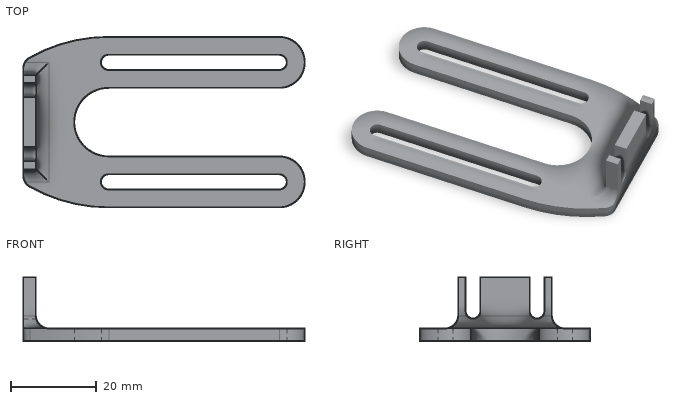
import cadquery as cq
import math

length = 66.0
width = 40.0
plate_thickness = 3.0

arm_width = 12.0
arm_start_x = 20.0
arm_end_radius = arm_width / 2
arm_end_center_x = length - arm_end_radius
arm_center_y = (width - arm_width) / 2
arm_slot_width = 3.5
gap_width = width - 2 * arm_width

mount_edge_width = 28.4
mount_corner_radius = 3.0

wall_height = 15.0
wall_thickness = 3.0
wall_width = 22.0
foot_radius = 3.0

notch_width = 3.4
notch_spacing = 15.0
notch_center_z = 7.0


def slot_prism(start_x, end_x, center_y, slot_width, height):
    """Round-ended slot along X, given by the centres of its two ends."""
    return (
        cq.Workplane("XY")
        .center((start_x + end_x) / 2, center_y)
        .slot2D(end_x - start_x + slot_width, slot_width)
        .extrude(height)
    )


def shoulder_midpoint():
    """Middle of the shoulder arc, which leaves the arm's outer side tangentially."""
    drop = (width - mount_edge_width) / 2
    radius = (arm_start_x**2 + drop**2) / (2 * drop)
    half_angle = math.asin(arm_start_x / radius) / 2
    x = arm_start_x - radius * math.sin(half_angle)
    y = width / 2 - radius * (1 - math.cos(half_angle))
    return x, y


def outline_prism(height):
    """Plate outline without the fork gap and the round arm ends, extruded up from Z = 0."""
    mid_x, mid_y = shoulder_midpoint()
    body = (
        cq.Workplane("XY")
        .moveTo(0, -mount_edge_width / 2)
        .threePointArc((mid_x, -mid_y), (arm_start_x, -width / 2))
        .lineTo(arm_end_center_x, -width / 2)
        .lineTo(arm_end_center_x, width / 2)
        .lineTo(arm_start_x, width / 2)
        .threePointArc((mid_x, mid_y), (0, mount_edge_width / 2))
        .close()
        .extrude(height)
    )
    return body.edges("|Z and <X").fillet(mount_corner_radius)


def make_plate():
    plate = outline_prism(plate_thickness)
    gap_end_x = length + gap_width
    plate = plate.cut(slot_prism(arm_start_x, gap_end_x, 0, gap_width, plate_thickness))
    for side in (-1, 1):
        center_y = side * arm_center_y
        arm = slot_prism(arm_start_x, arm_end_center_x, center_y, arm_width, plate_thickness)
        plate = plate.union(arm)
    for side in (-1, 1):
        center_y = side * arm_center_y
        slot = slot_prism(arm_start_x, arm_end_center_x, center_y, arm_slot_width, plate_thickness)
        plate = plate.cut(slot)
    return plate


def wall_across():
    """Wall shape across Y, flaring at the foot on both sides."""
    half_width = wall_width / 2
    foot_half_width = half_width + foot_radius
    foot_top_z = plate_thickness + foot_radius
    return (
        cq.Workplane("YZ")
        .moveTo(-foot_half_width, 0)
        .lineTo(foot_half_width, 0)
        .lineTo(foot_half_width, plate_thickness)
        .radiusArc((half_width, foot_top_z), foot_radius)
        .lineTo(half_width, wall_height)
        .lineTo(-half_width, wall_height)
        .lineTo(-half_width, foot_top_z)
        .radiusArc((-foot_half_width, plate_thickness), foot_radius)
        .close()
        .extrude(wall_thickness + foot_radius)
    )


def wall_along():
    """Wall shape along X, flaring at the foot on the inner side only."""
    return (
        cq.Workplane("XZ")
        .lineTo(wall_thickness + foot_radius, 0)
        .lineTo(wall_thickness + foot_radius, plate_thickness)
        .radiusArc((wall_thickness, plate_thickness + foot_radius), foot_radius)
        .lineTo(wall_thickness, wall_height)
        .lineTo(0, wall_height)
        .close()
        .extrude(width / 2, both=True)
    )


def make_notch(center_y):
    """Open-topped notch with a round bottom, cut through the wall along X."""
    radius = notch_width / 2
    return (
        cq.Workplane("YZ")
        .moveTo(center_y - radius, wall_height)
        .lineTo(center_y - radius, notch_center_z)
        .threePointArc((center_y, notch_center_z - radius), (center_y + radius, notch_center_z))
        .lineTo(center_y + radius, wall_height)
        .close()
        .extrude(wall_thickness + foot_radius)
    )


def make_wall():
    wall = wall_across().intersect(wall_along()).intersect(outline_prism(wall_height))
    for side in (-1, 1):
        wall = wall.cut(make_notch(side * notch_spacing / 2))
    return wall


result = make_plate().union(make_wall())